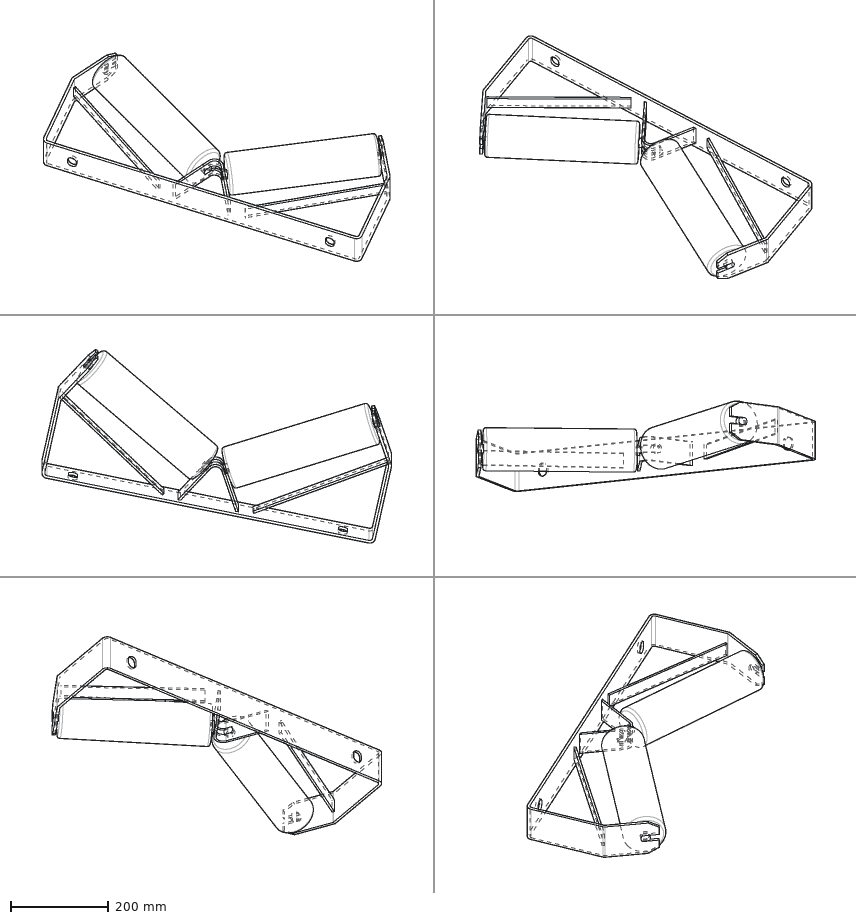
import cadquery as cq
import math

SPAN = 700.0
STRIP_WIDTH = 79.0
STRIP_THICKNESS = 6.0
TILT = math.radians(30)

BEND_Y = 173.5
ARM_LENGTH = 115.0
FRAME_INNER_RADIUS = 6.0
FRAME_OUTER_RADIUS = FRAME_INNER_RADIUS + STRIP_THICKNESS
BEND_INNER_RADIUS = 3.0
BEND_OUTER_RADIUS = BEND_INNER_RADIUS + STRIP_THICKNESS
TIP_CUT_ALONG = 23.0
TIP_CUT_ACROSS = TIP_CUT_ALONG * math.tan(TILT)
MOUNT_HOLE_X = 283.5
MOUNT_HOLE_WIDTH = 19.0
MOUNT_HOLE_LENGTH = 27.0

ROLLER_DIAMETER = 89.0
ROLLER_LENGTH = 315.0
ROLLER_EDGE_RADIUS = 5.5
ROLLER_X = 161.0
ROLLER_Y = 164.5
ROLLER_GAP = 6.0
SHAFT_DIAMETER = 19.5
SHAFT_FLATS = 15.0

BRACKET_WIDTH = 50.0
BRACKET_THICKNESS = 5.0
BRACKET_INNER_RADIUS = 14.0
BRACKET_OUTER_RADIUS = BRACKET_INNER_RADIUS + BRACKET_THICKNESS

BRACE_WIDTH = 30.0
BRACE_THICKNESS = 5.0
BRACE_HEAD_Y = 167.0
BRACE_FOOT_X = 96.0

SHAFT_RADIUS = SHAFT_DIAMETER / 2
AXIS = cq.Vector(math.cos(TILT), -math.sin(TILT))
ARM = cq.Vector(math.sin(TILT), math.cos(TILT))
ROLLER_CENTRE = cq.Vector(-ROLLER_X, ROLLER_Y)
FRAME_CORNER = cq.Vector(-SPAN / 2, BEND_Y)
ARM_FACE = (FRAME_CORNER - ROLLER_CENTRE).dot(AXIS)
BRACKET_FACE = ROLLER_LENGTH / 2 + ROLLER_GAP
SHAFT_END = BRACKET_FACE + BRACKET_THICKNESS


def roller_plane(station):
    """Plane square to the left roller axis, local X along the arms, at a distance from its centre."""
    return cq.Plane(origin=ROLLER_CENTRE + AXIS * station, xDir=ARM, normal=AXIS)


def mirrored(body):
    return body.mirror("YZ")


def across_middle(point):
    return cq.Vector(-point.x, point.y)


def prism(points, width):
    """Flat outline in XY, given as vectors and extruded evenly to both sides of Z = 0."""
    outline = [(point.x, point.y) for point in points]
    return cq.Workplane("XY").polyline(outline).close().extrude(width / 2, both=True)


def round_bend(body, corner, radius):
    """Round the edge along Z that passes through a corner of the outline."""
    edge = cq.NearestToPointSelector((corner.x, corner.y, 0))
    return body.edges("|Z").edges(edge).fillet(radius)


def shaft_slot(station, depth):
    """Cutter for an open slot along the arm whose bottom fits the flatted shaft."""
    half = SHAFT_FLATS / 2
    flat_end = math.sqrt(SHAFT_RADIUS**2 - half**2)
    return (
        cq.Workplane(roller_plane(station))
        .moveTo(ARM_LENGTH, -half)
        .lineTo(-flat_end, -half)
        .threePointArc((-SHAFT_RADIUS, 0), (-flat_end, half))
        .lineTo(ARM_LENGTH, half)
        .close()
        .extrude(depth)
    )


def tip_corner_cutter():
    """Wedges that trim both corners of the left arm tip."""
    tip = (FRAME_CORNER - ROLLER_CENTRE).dot(ARM) + ARM_LENGTH
    edge = STRIP_WIDTH / 2
    wedge = (
        cq.Workplane(roller_plane(ARM_FACE))
        .polyline([(tip, edge), (tip - TIP_CUT_ALONG, edge), (tip, edge - TIP_CUT_ACROSS)])
        .close()
        .extrude(STRIP_THICKNESS)
    )
    return wedge.union(wedge.mirror("XY"))


def make_frame():
    base_outer = cq.Vector(-SPAN / 2, 0)
    base_inner = base_outer + cq.Vector(STRIP_THICKNESS, STRIP_THICKNESS)
    bend_rise = STRIP_THICKNESS * math.tan(TILT / 2)
    bend_inner = FRAME_CORNER + cq.Vector(STRIP_THICKNESS, -bend_rise)
    tip_outer = FRAME_CORNER + ARM * ARM_LENGTH
    tip_inner = tip_outer + AXIS * STRIP_THICKNESS
    left = [base_outer, FRAME_CORNER, tip_outer, tip_inner, bend_inner, base_inner]
    right = [across_middle(point) for point in reversed(left)]
    frame = prism(left + right, STRIP_WIDTH)
    bends = [
        (base_outer, FRAME_OUTER_RADIUS),
        (base_inner, FRAME_INNER_RADIUS),
        (FRAME_CORNER, BEND_OUTER_RADIUS),
        (bend_inner, BEND_INNER_RADIUS),
    ]
    for corner, radius in bends:
        frame = round_bend(frame, corner, radius)
        frame = round_bend(frame, across_middle(corner), radius)
    arm_cutter = tip_corner_cutter().union(shaft_slot(ARM_FACE, STRIP_THICKNESS))
    mount_holes = (
        cq.Workplane("XZ")
        .pushPoints([(-MOUNT_HOLE_X, 0), (MOUNT_HOLE_X, 0)])
        .slot2D(MOUNT_HOLE_LENGTH, MOUNT_HOLE_WIDTH, 90)
        .extrude(-STRIP_THICKNESS)
    )
    return frame.cut(arm_cutter).cut(mirrored(arm_cutter)).cut(mount_holes)


def bracket_line(station, y):
    """Point at height y on the left bracket arm plane at a station along the roller axis."""
    on_axis = ROLLER_CENTRE + AXIS * station
    return on_axis + ARM * ((y - on_axis.y) / ARM.y)


def bracket_apex(station):
    """Sharp corner where that plane meets the mid-plane."""
    on_axis = ROLLER_CENTRE + AXIS * station
    return on_axis + ARM * (-on_axis.x / ARM.x)


def make_bracket():
    foot_outer = bracket_line(BRACKET_FACE, STRIP_THICKNESS)
    foot_inner = bracket_line(SHAFT_END, STRIP_THICKNESS)
    apex_outer = bracket_apex(BRACKET_FACE)
    apex_inner = bracket_apex(SHAFT_END)
    right_feet = [across_middle(foot_outer), across_middle(foot_inner)]
    outline = [foot_outer, apex_outer, *right_feet, apex_inner, foot_inner]
    bracket = prism(outline, BRACKET_WIDTH)
    bracket = round_bend(bracket, apex_outer, BRACKET_OUTER_RADIUS)
    bracket = round_bend(bracket, apex_inner, BRACKET_INNER_RADIUS)
    slot = shaft_slot(BRACKET_FACE, 2 * BRACKET_OUTER_RADIUS)
    return bracket.cut(slot).cut(mirrored(slot))


def make_roller():
    """Left roller: drum with rounded rims on a shaft whose ends are flatted to fit the slots."""
    drum = (
        cq.Workplane(roller_plane(-ROLLER_LENGTH / 2))
        .circle(ROLLER_DIAMETER / 2)
        .extrude(ROLLER_LENGTH)
        .edges()
        .fillet(ROLLER_EDGE_RADIUS)
    )
    inner_face = ARM_FACE + STRIP_THICKNESS
    journal_length = BRACKET_FACE - inner_face
    journal = cq.Workplane(roller_plane(inner_face)).circle(SHAFT_RADIUS).extrude(journal_length)
    shaft_length = SHAFT_END - ARM_FACE
    flats = cq.Workplane(roller_plane(ARM_FACE)).rect(SHAFT_DIAMETER, SHAFT_FLATS).extrude(shaft_length)
    shaft = cq.Workplane(roller_plane(ARM_FACE)).circle(SHAFT_RADIUS).extrude(shaft_length)
    return drum.union(journal).union(shaft.intersect(flats))


def make_brace():
    """Left brace: square-ended flat bar whose lower edge runs from the leg down to the base."""
    head = cq.Vector(-SPAN / 2 + STRIP_THICKNESS, BRACE_HEAD_Y)
    foot = cq.Vector(-BRACE_FOOT_X, STRIP_THICKNESS)
    along = (foot - head).normalized()
    across = cq.Vector(-along.y, along.x) * BRACE_THICKNESS
    return prism([head, head + across, foot + across, foot], BRACE_WIDTH)


frame = make_frame()
bracket = make_bracket()
bodies = [frame.val(), bracket.val()]
for make_left_body in (make_roller, make_brace):
    left_body = make_left_body()
    bodies += [left_body.val(), mirrored(left_body).val()]

result = cq.Compound.makeCompound(bodies)